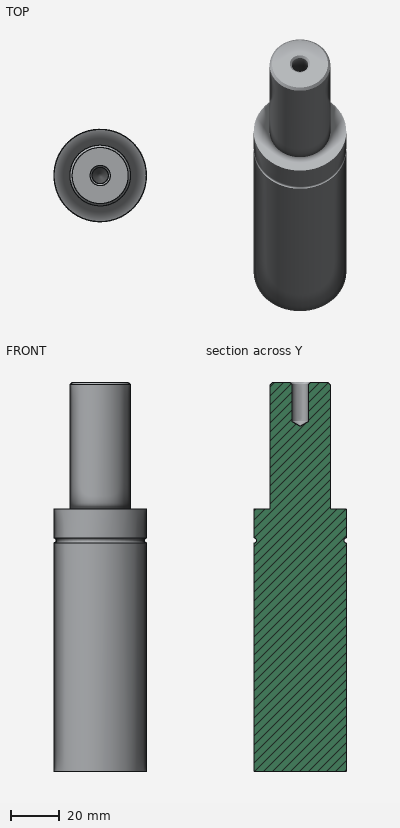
import cadquery as cq
import math

total_height = 160.0
body_diameter = 38.0
body_height = 108.0
rod_diameter = 25.0
rod_chamfer = 1.0

collar_height = 12.0
groove_radius = 1.0

hole_diameter = 6.7
hole_depth = 16.0
hole_chamfer = 0.8
drill_point_angle = 120

body_radius = body_diameter / 2
groove_top = body_height - collar_height
groove_center = groove_top - groove_radius
groove_bottom = groove_center - groove_radius


def make_body():
    """Cylindrical body with a half-round groove below its collar."""
    return (
        cq.Workplane("XZ")
        .moveTo(0, 0)
        .lineTo(body_radius, 0)
        .lineTo(body_radius, groove_bottom)
        .threePointArc((body_radius - groove_radius, groove_center), (body_radius, groove_top))
        .lineTo(body_radius, body_height)
        .lineTo(0, body_height)
        .close()
        .revolve(360, (0, 0, 0), (0, 1, 0))
    )


def make_rod():
    """Rod with a chamfered free end."""
    return (
        cq.Workplane("XY", origin=(0, 0, body_height))
        .circle(rod_diameter / 2)
        .extrude(total_height - body_height)
        .faces(">Z")
        .chamfer(rod_chamfer)
    )


def make_hole():
    """Blind hole with a chamfered mouth and a conical drill-point bottom."""
    hole_radius = hole_diameter / 2
    hole_bottom = total_height - hole_depth
    point_height = hole_radius / math.tan(math.radians(drill_point_angle / 2))
    return (
        cq.Workplane("XZ")
        .moveTo(0, hole_bottom - point_height)
        .lineTo(hole_radius, hole_bottom)
        .lineTo(hole_radius, total_height - hole_chamfer)
        .lineTo(hole_radius + hole_chamfer, total_height)
        .lineTo(0, total_height)
        .close()
        .revolve(360, (0, 0, 0), (0, 1, 0))
    )


result = make_body().union(make_rod()).cut(make_hole())